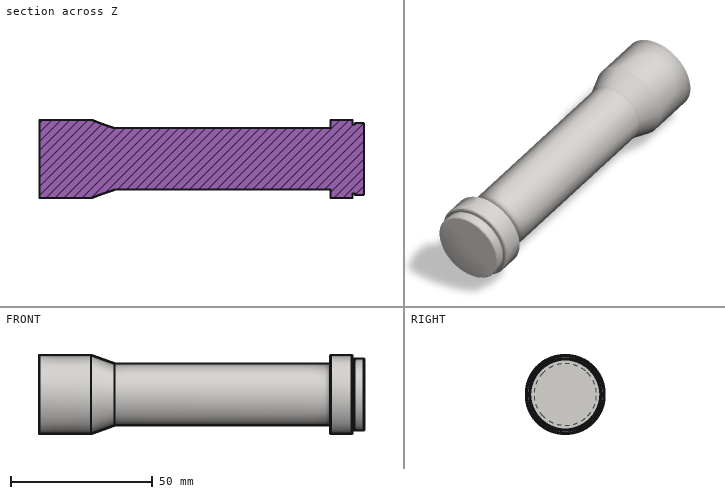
import cadquery as cq

total_length = 115.1
head_end = 18.4
taper_end = 26.7
flange_start = 103.0
flange_end = 111.0
groove_width = 0.7

head_diameter = 28.0
flange_diameter = head_diameter
shaft_diameter = 22.0
groove_diameter = 24.6
tip_diameter = 25.5

edge_chamfer = 0.3
head_chamfer = 0.2


def cylinder(start, end, diameter):
    """Solid cylinder along X between two positions."""
    profile = cq.Workplane("XZ").moveTo(start, 0).lineTo(start, diameter / 2)
    profile = profile.lineTo(end, diameter / 2).lineTo(end, 0).close()
    return profile.revolve(360, (0, 0, 0), (1, 0, 0))


head_profile = [
    (0, 0),
    (0, head_diameter / 2 - head_chamfer),
    (head_chamfer, head_diameter / 2),
    (head_end, head_diameter / 2),
    (taper_end, shaft_diameter / 2),
    (taper_end, 0),
]
head = cq.Workplane("XZ").polyline(head_profile).close().revolve(360, (0, 0, 0), (1, 0, 0))

shaft = cylinder(taper_end, flange_start, shaft_diameter)

flange = cylinder(flange_start, flange_end, flange_diameter).edges("%CIRCLE").chamfer(edge_chamfer)

tip_start = flange_end + groove_width
groove = cylinder(flange_end, tip_start, groove_diameter)
tip = cylinder(tip_start, total_length, tip_diameter).faces(">X").edges("%CIRCLE").chamfer(edge_chamfer)

result = head.union(shaft).union(flange).union(groove).union(tip)